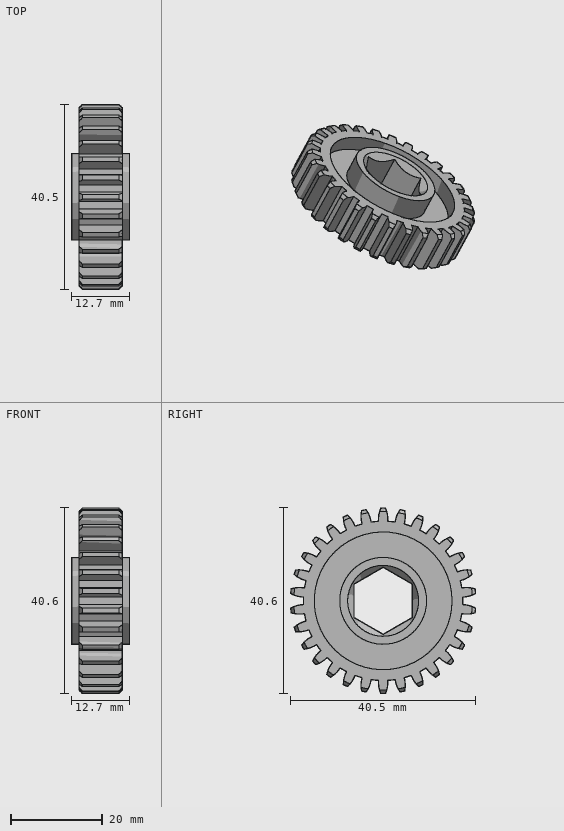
import cadquery as cq
import math

tooth_count = 30
tip_radius = 20.3
tip_thickness = 1.05
pitch_thickness = 1.85
root_thickness = 2.07
dedendum_factor = 1.25
gear_width = 9.5
tip_chamfer = 0.77
hub_length = 12.7
hub_radius = 9.5
recess_radius = 15.08
recess_depth = 3.35
hex_across_flats = 12.7
bore_mouth_radius = 7.75

module = 2 * tip_radius / (tooth_count + 2)
pitch_radius = module * tooth_count / 2
root_radius = pitch_radius - dedendum_factor * module
hex_circumradius = hex_across_flats / math.sqrt(3)
recess_floor = gear_width / 2 - recess_depth


def polar(radius, angle):
    return radius * math.cos(angle), radius * math.sin(angle)


def x_cylinder(radius, start, end):
    return cq.Workplane("YZ", origin=(start, 0, 0)).circle(radius).extrude(end - start)


def toothed_blank():
    """Gear outline with each tooth flank a single arc from root to tip."""
    pitch_step = 2 * math.pi / tooth_count
    first_angle = math.pi / 2
    tip_half = tip_thickness / (2 * tip_radius)
    pitch_half = pitch_thickness / (2 * pitch_radius)
    root_half = root_thickness / (2 * root_radius)

    outline = cq.Workplane("YZ", origin=(-gear_width / 2, 0, 0))
    outline = outline.moveTo(*polar(root_radius, first_angle - root_half))
    for tooth in range(tooth_count):
        centre = first_angle + tooth * pitch_step
        gap_centre = centre + pitch_step / 2
        next_root = centre + pitch_step - root_half
        outline = (
            outline
            .threePointArc(polar(pitch_radius, centre - pitch_half), polar(tip_radius, centre - tip_half))
            .threePointArc(polar(tip_radius, centre), polar(tip_radius, centre + tip_half))
            .threePointArc(polar(pitch_radius, centre + pitch_half), polar(root_radius, centre + root_half))
            .threePointArc(polar(root_radius, gap_centre), polar(root_radius, next_root))
        )
    return outline.close().extrude(gear_width)


def chamfered_envelope():
    """Disc with bevelled rims that bevels the ends of the teeth."""
    disc = x_cylinder(tip_radius, -gear_width / 2, gear_width / 2)
    return disc.faces("<X or >X").chamfer(tip_chamfer)


def bore():
    """Hexagonal through-bore with a 45 degree countersink at both mouths."""
    hexagon = (
        cq.Workplane("YZ")
        .polygon(6, 2 * hex_circumradius)
        .extrude(hub_length / 2, both=True)
        .rotate((0, 0, 0), (1, 0, 0), 90)
    )
    face = hub_length / 2
    countersink = (
        cq.Workplane("XY")
        .moveTo(face, 0)
        .lineTo(face, bore_mouth_radius)
        .lineTo(face - bore_mouth_radius, 0)
        .close()
        .revolve(360, (0, 0, 0), (1, 0, 0))
    )
    return hexagon.union(countersink).union(countersink.mirror("YZ"))


gear = toothed_blank().intersect(chamfered_envelope())

gear = gear.cut(x_cylinder(recess_radius, -gear_width / 2, -recess_floor))
gear = gear.cut(x_cylinder(recess_radius, recess_floor, gear_width / 2))

hub = x_cylinder(hub_radius, -hub_length / 2, hub_length / 2)
result = gear.union(hub).cut(bore())